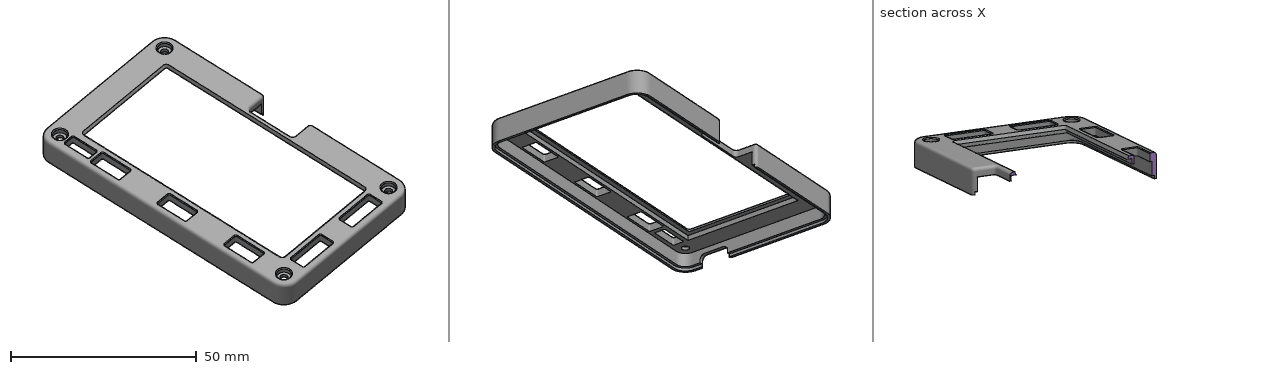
import cadquery as cq
import math

LENGTH = 88.8
WIDTH = 51.9
HEIGHT = 7.45
CORNER_RADIUS = 4.5
EDGE_FILLET = 1.0

PLATE_THICKNESS = 2.5
WALL = 1.5
LIP_WALL = 0.75
LIP_HEIGHT = 0.9

WINDOW_LENGTH = 71.8
WINDOW_WIDTH = 34.8
WINDOW_CORNER_RADIUS = 0.5
WINDOW_FLARE = 0.5
WINDOW_RIM = 1.0
DISPLAY_MARGIN = 1.5

NOTCH_WIDTH = 16.0
NOTCH_DEPTH = 7.0
NOTCH_CORNER_RADIUS = 1.0

SCREW_DIAMETER = 2.2
HEAD_DIAMETER = 4.0
HEAD_DEPTH = 1.5
HEAD_CHAMFER = 0.3
SCREW_X = LENGTH / 2 - CORNER_RADIUS
SCREW_Y = WIDTH / 2 - CORNER_RADIUS

SLOT_CORNER_RADIUS = 0.4
SLOT_CHAMFER = 0.25
SIDE_SLOT_SIZE = (4.6, 12.1)
SIDE_SLOT_Y = 9.95
FRONT_SLOT_SIZE = (10.1, 4.75)
FRONT_SLOT_PITCH = 23.75
FRONT_SLOT_MIDDLE_X = 1.95
SMALL_SLOT_SIZE = (8.5, 3.4)
SMALL_SLOT_X = -32.5

PORT_WIDTH = 9.1
PORT_HEIGHT = 3.3
PORT_Y = -14.2
PORT_CORNER_RADIUS = 1.5
PORT_CHAMFER = 0.35

PLATE_Z = HEIGHT - PLATE_THICKNESS


def rounded_block(length, width, radius, bottom, top):
    """Upright block centred on the origin with rounded vertical edges."""
    block = cq.Workplane("XY").workplane(offset=bottom).rect(length, width).extrude(top - bottom)
    return block.edges("|Z").fillet(radius)


def inset_block(inset, bottom, top):
    """Block that follows the body outline at a constant inset."""
    return rounded_block(LENGTH - 2 * inset, WIDTH - 2 * inset, CORNER_RADIUS - inset, bottom, top)


def make_body():
    """Notched block with its upper rim rounded, including the notch edges."""
    notch = rounded_block(NOTCH_WIDTH, 2 * NOTCH_DEPTH, NOTCH_CORNER_RADIUS, 0, HEIGHT)
    body = inset_block(0, 0, HEIGHT).cut(notch.translate((0, WIDTH / 2, 0)))
    notch_corners = cq.selectors.BoxSelector(
        (-NOTCH_WIDTH, WIDTH / 2 - EDGE_FILLET / 2, 0),
        (NOTCH_WIDTH, WIDTH / 2 + EDGE_FILLET / 2, HEIGHT),
    )
    body = body.edges("|Z").edges(notch_corners).fillet(EDGE_FILLET)
    return body.faces(">Z").edges().fillet(EDGE_FILLET)


def hollow(body):
    """Cut the underside cavity and the stepped lip around its mouth."""
    return body.cut(inset_block(WALL, 0, PLATE_Z)).cut(inset_block(LIP_WALL, 0, LIP_HEIGHT))


def flared_cutter(length, width, radius, flare, depth):
    """Tapered opening, widest at the top face, with the given size at its bottom."""
    bottom = cq.Sketch().rect(length, width).vertices().fillet(radius)
    top = cq.Sketch().rect(length + 2 * flare, width + 2 * flare).vertices().fillet(radius + flare)
    top = top.moved(cq.Location(cq.Vector(0, 0, depth)))
    return cq.Workplane("XY").workplane(offset=HEIGHT - depth).placeSketch(bottom, top).loft()


def cut_window(body):
    """Cut the flared window and the display recess below its rim."""
    inner_length = WINDOW_LENGTH - 2 * WINDOW_FLARE
    inner_width = WINDOW_WIDTH - 2 * WINDOW_FLARE
    window = flared_cutter(inner_length, inner_width, WINDOW_CORNER_RADIUS, WINDOW_FLARE, WINDOW_RIM)
    recess_length = inner_length + 2 * DISPLAY_MARGIN
    recess_width = inner_width + 2 * DISPLAY_MARGIN
    recess_depth = PLATE_THICKNESS - WINDOW_RIM
    recess = cq.Workplane("XY").workplane(offset=PLATE_Z).rect(recess_length, recess_width)
    recess = recess.extrude(recess_depth)
    return body.cut(window).cut(recess)


def cut_slot(body, size, x, y):
    """Cut one rounded slot through the plate with a chamfered upper edge."""
    length, width = size
    slot = rounded_block(length, width, SLOT_CORNER_RADIUS, 0, HEIGHT)
    chamfer = flared_cutter(length, width, SLOT_CORNER_RADIUS, SLOT_CHAMFER, SLOT_CHAMFER)
    return body.cut(slot.union(chamfer).translate((x, y, 0)))


def cut_slots(body):
    """Cut the side slots and the row of slots along the front edge."""
    for side in (-1, 1):
        body = cut_slot(body, SIDE_SLOT_SIZE, SCREW_X, side * SIDE_SLOT_Y)
    for step in (-1, 0, 1):
        x = FRONT_SLOT_MIDDLE_X + step * FRONT_SLOT_PITCH
        body = cut_slot(body, FRONT_SLOT_SIZE, x, -SCREW_Y)
    return cut_slot(body, SMALL_SLOT_SIZE, SMALL_SLOT_X, -SCREW_Y)


def cut_screw_holes(body):
    """Cut the four counterbored holes with chamfered mouths."""
    head_z = HEIGHT - HEAD_DEPTH
    mouth_base = cq.Vector(0, 0, HEIGHT - HEAD_CHAMFER)
    head_radius = HEAD_DIAMETER / 2
    shank = cq.Workplane("XY").circle(SCREW_DIAMETER / 2).extrude(HEIGHT)
    head = cq.Workplane("XY").workplane(offset=head_z).circle(head_radius).extrude(HEAD_DEPTH)
    mouth = cq.Solid.makeCone(head_radius, head_radius + HEAD_CHAMFER, HEAD_CHAMFER, pnt=mouth_base)
    cutter = shank.union(head).union(cq.Workplane(mouth))
    for x in (-SCREW_X, SCREW_X):
        for y in (-SCREW_Y, SCREW_Y):
            body = body.cut(cutter.translate((x, y, 0)))
    return body


def port_profile(x, margin):
    """Port opening at position x, enlarged all round by the margin."""
    half_width = PORT_WIDTH / 2 + margin
    top = PORT_HEIGHT + margin
    radius = PORT_CORNER_RADIUS + margin
    shift = radius * (1 - math.sqrt(0.5))
    return (
        cq.Workplane("YZ", origin=(x, PORT_Y, 0))
        .moveTo(-half_width, 0)
        .lineTo(half_width, 0)
        .lineTo(half_width, top - radius)
        .threePointArc((half_width - shift, top - shift), (half_width - radius, top))
        .lineTo(radius - half_width, top)
        .threePointArc((shift - half_width, top - shift), (-half_width, top - radius))
        .close()
    )


def cut_port(body):
    """Cut the cable port through the left wall with a chamfered outer edge."""
    outer_x = -LENGTH / 2
    opening = port_profile(outer_x, 0).extrude(WALL)
    mouth_outer = port_profile(outer_x, PORT_CHAMFER).wires().val()
    mouth_inner = port_profile(outer_x + PORT_CHAMFER, 0).wires().val()
    mouth = cq.Workplane(cq.Solid.makeLoft([mouth_outer, mouth_inner], True))
    return body.cut(opening).cut(mouth)


result = make_body()
for cut_feature in (hollow, cut_window, cut_slots, cut_screw_holes, cut_port):
    result = cut_feature(result)